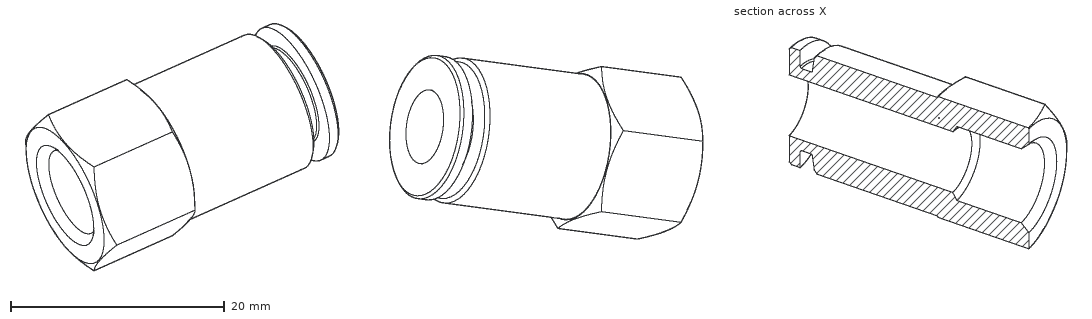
import cadquery as cq
import math

total_length = 26.2
hex_length = 10.0
body_shoulder_y = 23.13
body_edge_y = 23.48
body_end_y = 23.7
flange_start_y = 25.0

across_flats = 14.0
hex_chamfer_angle = math.radians(30)
hex_face_radius = 6.92
body_radius = 6.86
body_edge_radius = 6.47
neck_radius = 4.77
neck_flare = 0.15
flange_radius = 6.79
flange_chamfer = 0.25

mouth_radius = 5.08
socket_radius = 4.25
through_radius = 3.48
mouth_depth = mouth_radius - socket_radius
socket_depth = 7.85
drill_half_angle = math.radians(59)
drill_tip_length = (socket_radius - through_radius) / math.tan(drill_half_angle)

corner_radius = across_flats / math.sqrt(3)
hex_chamfer_length = (corner_radius - hex_face_radius) * math.tan(hex_chamfer_angle)


def revolve_profile(points):
    """Revolve a closed (radius, y) outline about the Y axis."""
    return cq.Workplane("XY").polyline(points).close().revolve(360, (0, 0), (0, 1))


def make_hex():
    """Hexagonal end with both rims chamfered by a cone."""
    prism = (
        cq.Workplane("XZ")
        .polygon(6, 2 * corner_radius)
        .extrude(-hex_length)
    )
    envelope = revolve_profile([
        (0, 0),
        (hex_face_radius, 0),
        (corner_radius, hex_chamfer_length),
        (corner_radius, hex_length - hex_chamfer_length),
        (hex_face_radius, hex_length),
        (0, hex_length),
    ])
    return prism.intersect(envelope)


def make_sleeve():
    """Round body, neck and release flange."""
    return revolve_profile([
        (0, hex_length / 2),
        (body_radius, hex_length / 2),
        (body_radius, body_shoulder_y),
        (body_edge_radius, body_edge_y),
        (neck_radius, body_end_y),
        (neck_radius, flange_start_y - neck_flare),
        (neck_radius + neck_flare, flange_start_y),
        (flange_radius, flange_start_y),
        (flange_radius, total_length - flange_chamfer),
        (flange_radius - flange_chamfer, total_length),
        (0, total_length),
    ])


def make_bore():
    """Countersunk socket with a drill-point bottom, and the through bore."""
    return revolve_profile([
        (0, 0),
        (mouth_radius, 0),
        (socket_radius, mouth_depth),
        (socket_radius, socket_depth),
        (through_radius, socket_depth + drill_tip_length),
        (through_radius, total_length),
        (0, total_length),
    ])


result = make_hex().union(make_sleeve()).cut(make_bore())